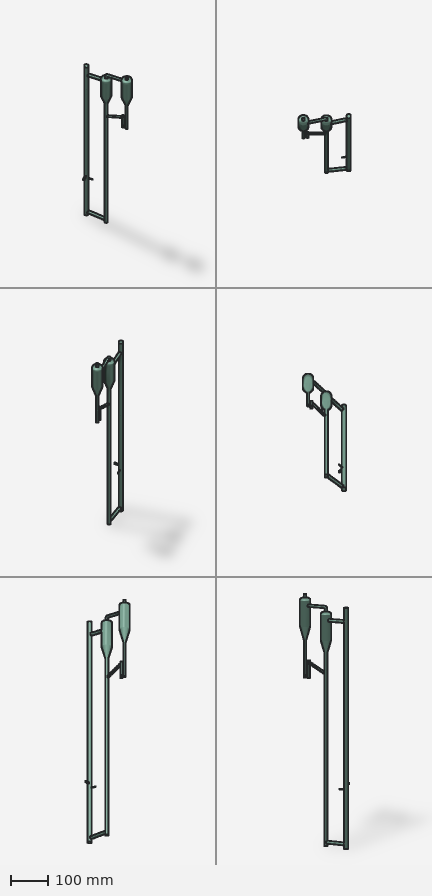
import cadquery as cq

cyclone_1_x, cyclone_1_y = 60.0, -6.0
cyclone_2_x, cyclone_2_y = 121.5, -12.5
pot_x = 110.5

riser_radius = 6.0
riser_top = 660.0
nozzle_length = 18.5
side_nozzle_z = 175.0
side_nozzle_radius = 2.4
thin_nozzle_z = 162.0
thin_nozzle_radius = 1.0

cyclone_radius = 14.5
dome_height = 7.0
barrel_height = 71.5
outlet_radius = 3.8
barrel_1_top = 637.5
cone_1_height = 33.0
standpipe_1_radius = 5.0
standpipe_1_bottom = 2.0
barrel_2_top = 670.5
cone_2_height = 39.0
standpipe_2_radius = 3.5
standpipe_2_bottom = 458.0
overall_height = 686.0

crossover_z = 657.0
elbow_bend_radius = 5.0

link_radius = 4.45
inlet_z = 622.5
bottom_link_z = 12.5

pot_top = 505.0
pot_radius = 3.5
pot_link_rise = 5.5
pot_link_radius = 3.0
return_radius = 3.1
return_low_z = 473.5
return_high_z = 500.0


def pipe(start, end, radius):
    """Solid round bar between two points."""
    axis = cq.Vector(*end) - cq.Vector(*start)
    return cq.Workplane(cq.Solid.makeCylinder(radius, axis.Length, cq.Vector(*start), axis))


def cyclone(x, y, barrel_top, cone_height, standpipe_radius, standpipe_bottom):
    """Revolved cyclone with an elliptical dome, a cone and a standpipe."""
    barrel_bottom = barrel_top - barrel_height
    cone_bottom = barrel_bottom - cone_height
    body = (
        cq.Workplane("XZ")
        .moveTo(0, standpipe_bottom)
        .lineTo(standpipe_radius, standpipe_bottom)
        .lineTo(standpipe_radius, cone_bottom)
        .lineTo(cyclone_radius, barrel_bottom)
        .lineTo(cyclone_radius, barrel_top)
        .ellipseArc(cyclone_radius, dome_height, 0, 90, startAtCurrent=True)
        .close()
        .revolve(360, (0, 0), (0, 1))
    )
    return body.translate((x, y, 0))


def crossover():
    """Outlet of the first cyclone, bent over to run along X into the second."""
    bend_start = crossover_z - elbow_bend_radius
    bend_end_x = cyclone_1_x + elbow_bend_radius
    upright = pipe((cyclone_1_x, cyclone_1_y, barrel_1_top),
                   (cyclone_1_x, cyclone_1_y, bend_start), outlet_radius)
    elbow = (
        cq.Workplane("XY", origin=(cyclone_1_x, cyclone_1_y, bend_start))
        .circle(outlet_radius)
        .revolve(90, (elbow_bend_radius, 0), (elbow_bend_radius, 1))
    )
    run = pipe((bend_end_x, cyclone_1_y, crossover_z),
               (cyclone_2_x, cyclone_1_y, crossover_z), outlet_radius)
    return upright.union(elbow).union(run)


pot_fraction = (pot_x - cyclone_1_x) / (cyclone_2_x - cyclone_1_x)
pot_y = cyclone_1_y + pot_fraction * (cyclone_2_y - cyclone_1_y)
pot_link_z = standpipe_2_bottom + pot_link_rise

pipes = [
    pipe((0, 0, side_nozzle_z), (0, -nozzle_length, side_nozzle_z), side_nozzle_radius),
    pipe((0, 0, thin_nozzle_z), (nozzle_length, 0, thin_nozzle_z), thin_nozzle_radius),
    pipe((0, 0, inlet_z), (cyclone_1_x, 0, inlet_z), link_radius),
    pipe((0, 0, bottom_link_z), (cyclone_1_x, cyclone_1_y, bottom_link_z), link_radius),
    pipe((cyclone_2_x, cyclone_2_y, barrel_2_top),
         (cyclone_2_x, cyclone_2_y, overall_height), outlet_radius),
    pipe((pot_x, pot_y, standpipe_2_bottom), (pot_x, pot_y, pot_top), pot_radius),
    pipe((pot_x, pot_y, pot_link_z), (cyclone_2_x, cyclone_2_y, pot_link_z), pot_link_radius),
    pipe((cyclone_1_x, cyclone_1_y, return_low_z), (pot_x, pot_y, return_high_z), return_radius),
]

result = pipe((0, 0, 0), (0, 0, riser_top), riser_radius)
result = result.union(cyclone(cyclone_1_x, cyclone_1_y, barrel_1_top, cone_1_height,
                              standpipe_1_radius, standpipe_1_bottom))
result = result.union(cyclone(cyclone_2_x, cyclone_2_y, barrel_2_top, cone_2_height,
                              standpipe_2_radius, standpipe_2_bottom))
result = result.union(crossover())
for part in pipes:
    result = result.union(part)